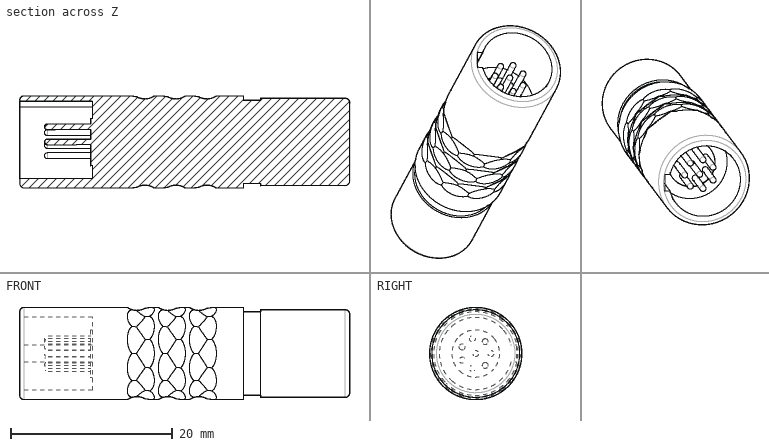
import cadquery as cq
import math

LENGTH = 41.0

GRIP_RADIUS = 5.75
GRIP_END = 27.8
NECK_RADIUS = 5.2
NECK_END = 29.95
COLLAR_RADIUS = 5.45
FRONT_ROUND = 0.55
REAR_ROUND = 0.57

SOCKET_RADIUS = 4.5
SOCKET_DEPTH = 9.0
KEYWAY_WIDTH = 2.15
KEYWAY_REACH = 5.05

INSERT_RADIUS = 2.95
INSERT_HEIGHT = 0.2
PIN_RADIUS = 0.35
PIN_LENGTH = 5.95
PIN_CIRCLE_RADIUS = 1.9
RING_PIN_COUNT = 7

SCALLOPS_PER_RING = 10
SCALLOP_DEPTH = 0.35
SCALLOP_HALF_WIDTH = 1.2
KNURL_START = 13.35
PAIR_PITCH = 3.85
PAIR_COUNT = 3
RING_OFFSET = 1.0
SCALLOP_STEP = 360.0 / SCALLOPS_PER_RING
SCALLOP_RADIUS = (SCALLOP_HALF_WIDTH**2 + SCALLOP_DEPTH**2) / (2 * SCALLOP_DEPTH)
SCALLOP_AXIS_RADIUS = GRIP_RADIUS - SCALLOP_DEPTH + SCALLOP_RADIUS


def rod(radius, start, end, y=0.0, z=0.0):
    """Cylinder along X from start to end."""
    return cq.Workplane("YZ", origin=(start, y, z)).circle(radius).extrude(end - start)


def sleeve():
    grip = rod(GRIP_RADIUS, 0, GRIP_END).faces("<X").edges().fillet(FRONT_ROUND)
    neck = rod(NECK_RADIUS, GRIP_END, NECK_END)
    collar = rod(COLLAR_RADIUS, NECK_END, LENGTH).faces(">X").edges().fillet(REAR_ROUND)
    return grip.union(neck).union(collar)


def scallop_ring(x, first_angle):
    """Cutters whose axes run tangentially around the grip at station x."""
    cutter_length = GRIP_RADIUS
    cutter = (
        cq.Workplane("XZ", origin=(x, cutter_length / 2, SCALLOP_AXIS_RADIUS))
        .circle(SCALLOP_RADIUS)
        .extrude(cutter_length)
    )
    for index in range(SCALLOPS_PER_RING):
        angle = first_angle + index * SCALLOP_STEP
        yield cutter.rotate((0, 0, 0), (1, 0, 0), angle)


def cut_knurl(body):
    for pair in range(PAIR_COUNT):
        first_x = KNURL_START + SCALLOP_HALF_WIDTH + pair * PAIR_PITCH
        for cutter in scallop_ring(first_x, 0):
            body = body.cut(cutter)
        for cutter in scallop_ring(first_x + RING_OFFSET, SCALLOP_STEP / 2):
            body = body.cut(cutter)
    return body


def socket():
    bore = rod(SOCKET_RADIUS, 0, SOCKET_DEPTH)
    keyway = cq.Workplane("XY").box(
        SOCKET_DEPTH, KEYWAY_REACH, KEYWAY_WIDTH, centered=(False, False, True)
    )
    return bore.union(keyway)


def pin(y, z):
    tip = SOCKET_DEPTH - PIN_LENGTH
    shank = rod(PIN_RADIUS, tip + PIN_RADIUS, SOCKET_DEPTH, y, z)
    dome = cq.Workplane("XY").sphere(PIN_RADIUS).translate((tip + PIN_RADIUS, y, z))
    return shank.union(dome)


def contacts():
    group = rod(INSERT_RADIUS, SOCKET_DEPTH - INSERT_HEIGHT, SOCKET_DEPTH).union(pin(0, 0))
    for index in range(RING_PIN_COUNT):
        angle = 2 * math.pi * index / RING_PIN_COUNT
        y = PIN_CIRCLE_RADIUS * math.cos(angle)
        z = PIN_CIRCLE_RADIUS * math.sin(angle)
        group = group.union(pin(y, z))
    return group


result = cut_knurl(sleeve()).cut(socket()).union(contacts())